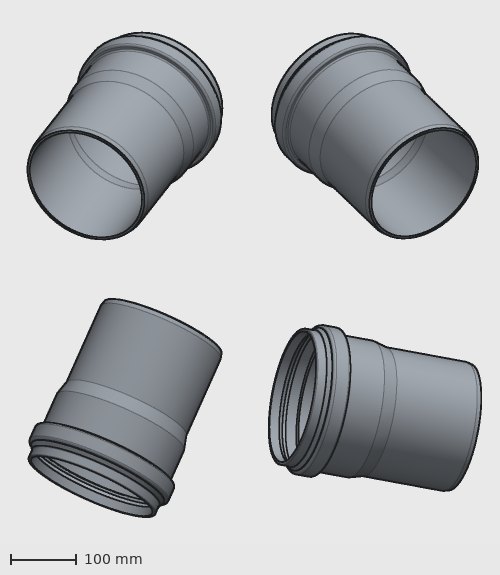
import cadquery as cq
import math

total_length = 270.0

spigot_radius = 200.0 / 2
socket_radius = 212.0 / 2
bead_radius = 231.3 / 2
lip_radius = 211.2 / 2
shoulder_large_radius = 110.6

spigot_wall = 6.2
socket_wall = 5.6
housing_wall = 4.7

spigot_bore_radius = spigot_radius - spigot_wall
socket_bore_radius = socket_radius - socket_wall
groove_radius = bead_radius - housing_wall
lip_bore_radius = lip_radius - housing_wall
shoulder_bore_radius = shoulder_large_radius - housing_wall

taper_start = 138.7
taper_end = 161.0
bead_start = 218.2
bead_end = 246.7
shoulder_start = 247.3
shoulder_end = 254.5
groove_start = bead_start + housing_wall
groove_end = bead_end - housing_wall

spigot_chamfer_length = 8.0
spigot_chamfer_depth = 2.1
bead_front_fillet = 3.6
bead_back_fillet = 4.6
bead_root_fillet = 2.6
lip_root_fillet = 1.0
mouth_fillet = 1.0

shoulder_small_radius = lip_radius + lip_root_fillet


def quarter_arc(outline, corner, start, end):
    """Run the outline to start, then round the square corner with a quarter circle to end."""
    centre = (start[0] + end[0] - corner[0], start[1] + end[1] - corner[1])
    middle = [c + (k - c) * math.sqrt(0.5) for c, k in zip(centre, corner)]
    return outline.lineTo(*start).threePointArc(tuple(middle), end)


def add_bead(outline):
    """Raised bead around the seal, with a rounded root on the spigot side."""
    outline = quarter_arc(
        outline,
        (socket_radius, bead_start),
        (socket_radius, bead_start - bead_root_fillet),
        (socket_radius + bead_root_fillet, bead_start),
    )
    outline = quarter_arc(
        outline,
        (bead_radius, bead_start),
        (bead_radius - bead_front_fillet, bead_start),
        (bead_radius, bead_start + bead_front_fillet),
    )
    return quarter_arc(
        outline,
        (bead_radius, bead_end),
        (bead_radius, bead_end - bead_back_fillet),
        (bead_radius - bead_back_fillet, bead_end),
    )


def add_mouth(outline):
    """Sloping shoulder behind the bead, then the lip with its rounded root and rim."""
    outline = (
        outline.lineTo(shoulder_large_radius, bead_end)
        .lineTo(shoulder_large_radius, shoulder_start)
    )
    outline = quarter_arc(
        outline,
        (lip_radius, shoulder_end),
        (shoulder_small_radius, shoulder_end),
        (lip_radius, shoulder_end + lip_root_fillet),
    )
    return quarter_arc(
        outline,
        (lip_radius, total_length),
        (lip_radius, total_length - mouth_fillet),
        (lip_radius - mouth_fillet, total_length),
    )


def add_bore(outline):
    """Inside of the part, from the mouth past the seal groove to the spigot end."""
    return (
        outline.lineTo(lip_bore_radius, total_length)
        .lineTo(lip_bore_radius, shoulder_end)
        .lineTo(shoulder_bore_radius, shoulder_start)
        .lineTo(shoulder_bore_radius, groove_end)
        .lineTo(groove_radius, groove_end)
        .lineTo(groove_radius, groove_start)
        .lineTo(socket_bore_radius, groove_start)
        .lineTo(socket_bore_radius, taper_end)
        .lineTo(spigot_bore_radius, taper_start)
        .lineTo(spigot_bore_radius, 0)
    )


section = (
    cq.Workplane("XY")
    .moveTo(spigot_bore_radius, 0)
    .lineTo(spigot_radius - spigot_chamfer_depth, 0)
    .lineTo(spigot_radius, spigot_chamfer_length)
    .lineTo(spigot_radius, taper_start)
    .lineTo(socket_radius, taper_end)
)
section = add_bead(section)
section = add_mouth(section)
section = add_bore(section)

result = section.close().revolve(360, (0, 0, 0), (0, 1, 0))